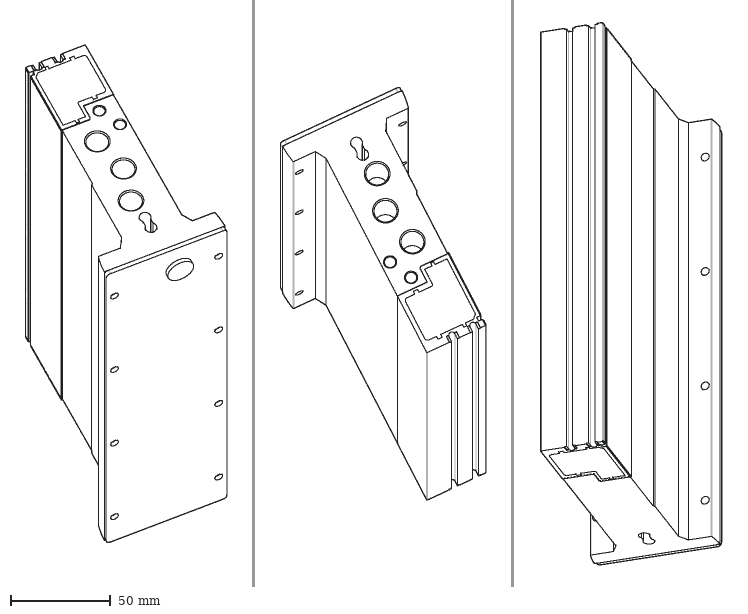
import cadquery as cq

TOTAL_LENGTH = 234.5
TOTAL_WIDTH = 134.5
END_STEP = 0.5
BODY_LENGTH = TOTAL_LENGTH - 2 * END_STEP
BODY_TOP = BODY_LENGTH / 2

PLATE_THICKNESS = 2.3
PLATE_WIDTH = 66.8
PLATE_CORNER = 2.3
KNOB_HEIGHT = 2.0
KNOB_DIAMETER = 14.3
KNOB_FROM_TOP = 18.0
KNOB_Y = 6.8
PLATE_BACK = TOTAL_WIDTH - KNOB_HEIGHT
PLATE_FRONT = PLATE_BACK - PLATE_THICKNESS

WEB_HALF = 16.6
WEB_RECESS = 0.7
RECESS_END = 79.0
RECESS_RAMP = 0.7
FLANGE_START = 120.2
FLANGE_EDGE_DROP = 1.2
FLANGE_CORNER = 0.5
FLANGE_BULGE = 0.2
GUSSET_LENGTH = 5.6
GUSSET_RISE = 3.3

SCREW_DIAMETER = 4.2
SCREW_Y = 28.8
SCREW_SPACING = 64.0
SCREW_COUNT = 4

BORE_DIAMETER = 11.5
BORE_CHAMFER = 0.7
BORE_CENTRES = [(56.0, -2.8), (76.6, 2.0), (96.0, -2.8)]
PILOT_DIAMETER = 5.6
PILOT_CHAMFER = 0.5
PILOT_CENTRES = [(39.4, 6.0), (51.3, 12.0)]
HOLE_DEPTH = 23.5

SLOT_X = 111.8
SLOT_Y = -0.7
SLOT_LOBE_DIAMETER = 5.9
SLOT_LOBE_SPACING = 7.0
SLOT_WAIST = 4.2

NOSE_UPPER_X = 33.5
NOSE_LOWER_X = 42.5
NOSE_STEP_Y = 0.0
NOSE_STEP_RADIUS = 1.2
NOSE_CORNER = 0.5
NOSE_LIP = 0.5
CORE_LEFT = 5.6
WALL = 2.3
UPPER_WALL = 3.0
STEP_WALL = 1.9
CORE_RADIUS = 1.6
CORE_STEP_RADIUS = 1.0
CORE_BEVEL = 2.0

GUIDE_DEPTH = 1.6
UPPER_GUIDE_Y = 7.3
UPPER_GUIDE_WIDTH = 2.3
LOWER_GUIDE_Y = -6.8
LOWER_GUIDE_WIDTH = 1.6

GROOVE_WIDTH = 3.3
GROOVE_DEPTH = 4.5
GROOVE_YS = [1.2, -10.5]
END_GROOVE_WIDTH = 5.6
END_GROOVE_DEPTH = 3.5
NOTCH_X = 4.7
NOTCH_WIDTH = 2.0
NOTCH_DEPTH = 2.5
NOTCH_CHAMFER = 0.5
END_INSET = 0.5


def prism(outline, length):
    """Extrude an XY outline so that it is centred on Z = 0."""
    return outline.extrude(length / 2, both=True)


def stepped_outline(left, upper_right, lower_right, top, step, bottom):
    """L-shaped outline whose lower part reaches further in +X."""
    return cq.Workplane("XY").polyline([
        (left, top),
        (upper_right, top),
        (upper_right, step),
        (lower_right, step),
        (lower_right, bottom),
        (left, bottom),
    ]).close()


def nose_block():
    block = prism(
        stepped_outline(0, NOSE_UPPER_X, NOSE_LOWER_X, WEB_HALF, NOSE_STEP_Y, -WEB_HALF),
        TOTAL_LENGTH,
    )
    step_corner = cq.selectors.NearestToPointSelector((NOSE_LOWER_X, NOSE_STEP_Y, 0))
    block = block.edges(step_corner).fillet(NOSE_STEP_RADIUS).edges("|Z and <X").fillet(NOSE_CORNER)
    lip_y = WEB_RECESS / 2 - WEB_HALF
    lip = prism(
        cq.Workplane("XY").center(NOSE_LOWER_X, lip_y).rect(2 * NOSE_LIP, WEB_RECESS), TOTAL_LENGTH
    )
    return block.union(lip)


def core_guide(x_from, x_to, y, width):
    return prism(
        cq.Workplane("XY").center((x_from + x_to) / 2, y).rect(x_to - x_from, width),
        TOTAL_LENGTH,
    )


def make_core():
    upper_right = NOSE_UPPER_X - UPPER_WALL
    lower_right = NOSE_LOWER_X - WALL
    top = WEB_HALF - WALL
    step = NOSE_STEP_Y - STEP_WALL
    core = prism(
        stepped_outline(CORE_LEFT, upper_right, lower_right, top, step, -top),
        TOTAL_LENGTH,
    )
    bevel_corner = cq.selectors.NearestToPointSelector((CORE_LEFT, -top, 0))
    core = core.edges(bevel_corner).chamfer(CORE_BEVEL)
    inner_corner = cq.selectors.NearestToPointSelector((upper_right, step, 0))
    core = core.edges(inner_corner).fillet(CORE_STEP_RADIUS)
    for corner in [(CORE_LEFT, top, 0), (upper_right, top, 0)]:
        core = core.edges(cq.selectors.NearestToPointSelector(corner)).fillet(CORE_RADIUS)
    for right, y, width in [
        (upper_right, UPPER_GUIDE_Y, UPPER_GUIDE_WIDTH),
        (lower_right, LOWER_GUIDE_Y, LOWER_GUIDE_WIDTH),
    ]:
        core = core.union(core_guide(CORE_LEFT - GUIDE_DEPTH, right + GUIDE_DEPTH, y, width))
    return core


def groove(y):
    """Round-bottomed groove that opens on the -X side."""
    radius = GROOVE_WIDTH / 2
    straight = GROOVE_DEPTH - radius
    outline = (
        cq.Workplane("XY")
        .moveTo(0, y + radius)
        .lineTo(straight, y + radius)
        .threePointArc((GROOVE_DEPTH, y), (straight, y - radius))
        .lineTo(0, y - radius)
        .close()
    )
    return prism(outline, TOTAL_LENGTH)


def notch():
    """Narrow slot with a flared mouth that opens on the -Y side."""
    half = NOTCH_WIDTH / 2
    mouth = half + NOTCH_CHAMFER
    outline = cq.Workplane("XY").center(NOTCH_X, -WEB_HALF).polyline([
        (-mouth, 0),
        (-half, NOTCH_CHAMFER),
        (-half, NOTCH_DEPTH),
        (half, NOTCH_DEPTH),
        (half, NOTCH_CHAMFER),
        (mouth, 0),
    ]).close()
    return prism(outline, TOTAL_LENGTH)


def end_relief():
    """Material removed around the end steps: wider grooves and a setback on the -Y side."""
    relief = prism(
        cq.Workplane("XY").center(NOSE_LOWER_X / 2, -WEB_HALF).rect(2 * NOSE_LOWER_X, 2 * END_INSET),
        TOTAL_LENGTH,
    )
    for y in GROOVE_YS:
        recess = cq.Workplane("XY").center(0, y).rect(2 * END_GROOVE_DEPTH, END_GROOVE_WIDTH)
        relief = relief.union(prism(recess, TOTAL_LENGTH))
    between_steps = cq.Workplane("XY").box(2 * TOTAL_WIDTH, 2 * PLATE_WIDTH, BODY_LENGTH)
    return relief.cut(between_steps)


def make_nose(core):
    nose = nose_block().cut(core).cut(notch()).cut(end_relief())
    for y in GROOVE_YS:
        nose = nose.cut(groove(y))
    return nose


def screw_holes():
    return (
        cq.Workplane("YZ")
        .workplane(offset=FLANGE_START)
        .rarray(2 * SCREW_Y, SCREW_SPACING, 2, SCREW_COUNT)
        .circle(SCREW_DIAMETER / 2)
        .extrude(PLATE_BACK - FLANGE_START)
    )


def web_outline():
    half = PLATE_WIDTH / 2
    edge = half - FLANGE_EDGE_DROP
    gusset_x = FLANGE_START - GUSSET_LENGTH
    gusset_y = WEB_HALF + GUSSET_RISE
    mid_x = (FLANGE_START + PLATE_FRONT) / 2
    mid_y = (edge + half) / 2 + FLANGE_BULGE
    return (
        cq.Workplane("XY")
        .moveTo(NOSE_UPPER_X, WEB_HALF)
        .lineTo(gusset_x, WEB_HALF)
        .lineTo(FLANGE_START, gusset_y)
        .lineTo(FLANGE_START, edge)
        .threePointArc((mid_x, mid_y), (PLATE_FRONT, half))
        .lineTo(PLATE_FRONT, -half)
        .threePointArc((mid_x, -mid_y), (FLANGE_START, -edge))
        .lineTo(FLANGE_START, -gusset_y)
        .lineTo(gusset_x, -WEB_HALF)
        .lineTo(RECESS_END, -WEB_HALF)
        .lineTo(RECESS_END - RECESS_RAMP, WEB_RECESS - WEB_HALF)
        .lineTo(NOSE_UPPER_X, WEB_RECESS - WEB_HALF)
        .close()
    )


def chamfered_hole(centre, diameter, chamfer):
    hole = (
        cq.Workplane("XY", origin=(*centre, BODY_TOP - HOLE_DEPTH)).circle(diameter / 2).extrude(HOLE_DEPTH)
    )
    mouth = cq.Solid.makeCone(
        diameter / 2, diameter / 2 + chamfer, chamfer, pnt=cq.Vector(*centre, BODY_TOP - chamfer)
    )
    return hole.union(cq.Workplane(mouth))


def web_slot():
    lobes = cq.Workplane("XY").center(SLOT_X, SLOT_Y).rarray(SLOT_LOBE_SPACING, 2.3, 2, 1)
    waist = cq.Workplane("XY").center(SLOT_X, SLOT_Y).rect(SLOT_LOBE_SPACING, SLOT_WAIST)
    return prism(lobes.circle(SLOT_LOBE_DIAMETER / 2), TOTAL_LENGTH).union(prism(waist, TOTAL_LENGTH))


def make_web():
    web = prism(web_outline(), BODY_LENGTH)
    for side in (1, -1):
        flange_corner = (FLANGE_START, side * (PLATE_WIDTH / 2 - FLANGE_EDGE_DROP), 0)
        web = web.edges(cq.selectors.NearestToPointSelector(flange_corner)).fillet(FLANGE_CORNER)
    web = web.cut(nose_block())
    for centre in BORE_CENTRES:
        web = web.cut(chamfered_hole(centre, BORE_DIAMETER, BORE_CHAMFER))
    for centre in PILOT_CENTRES:
        web = web.cut(chamfered_hole(centre, PILOT_DIAMETER, PILOT_CHAMFER))
    return web.cut(web_slot()).cut(screw_holes())


def make_face_plate():
    plate = (
        cq.Workplane("YZ", origin=(PLATE_FRONT, 0, 0))
        .rect(PLATE_WIDTH, BODY_LENGTH)
        .extrude(PLATE_THICKNESS)
        .edges("|X")
        .fillet(PLATE_CORNER)
    )
    knob = (
        cq.Workplane("YZ", origin=(PLATE_BACK, KNOB_Y, TOTAL_LENGTH / 2 - KNOB_FROM_TOP))
        .circle(KNOB_DIAMETER / 2)
        .extrude(KNOB_HEIGHT)
    )
    return plate.union(knob).cut(screw_holes())


core = make_core()
nose = make_nose(core)
web = make_web()
face_plate = make_face_plate()

result = cq.Compound.makeCompound([web.val(), nose.val(), core.val(), face_plate.val()])